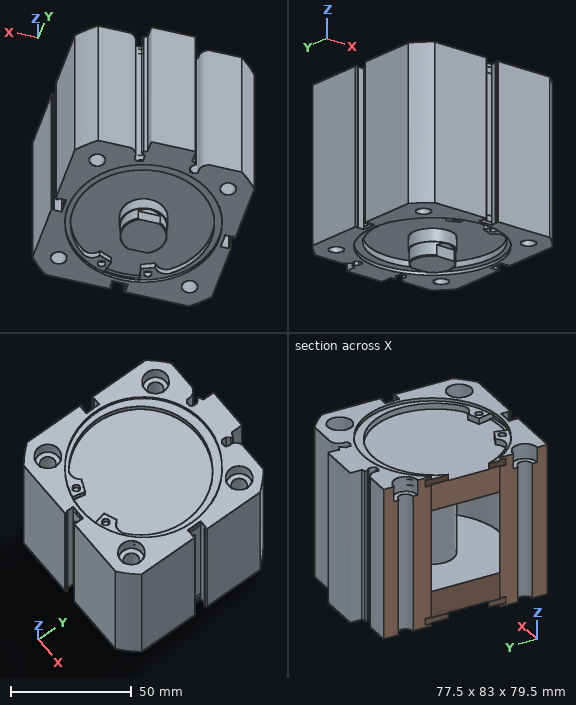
import cadquery as cq
import math

width = 77.5
half_width = width / 2
overall_depth = 83
housing_height = 71.55
corner_radius = 49.6
bore_radius = 32.5

bolt_offset = 28.2
bolt_hole_radius = 3.3
counterbore_radius = 5.6
counterbore_depth = 7.05

rail_top = overall_depth - half_width
rail_half_width = 9.6
rail_edge_radius = 0.5
hook_tip_x = 11.7
hook_tip_y = 37.6
hook_tip_half_height = 0.5
slot_inner_x = 10.0
slot_outer_x = 13.7
slot_bottom_y = 32.5
slot_bottom_radius = 1.25
slot_neck_y = 35.6
slot_mouth_size = 3.4
slot_mouth_bulge = 0.7

groove_half_width = 3.3
groove_mouth_half_width = 2.6
groove_edge_half_width = 3.2
groove_depth = 4.5
groove_lip_thickness = 1.1
lip_chamfer_depth = 0.4

ring_inset = 1.4
ring_thickness = 2.7
ring_outer_radius = 34.0
ring_inner_radius = 29.8
ring_inner_offset = 1.5
lug_valley_start_x = 18.75
lug_valley = (16.1, -25.6)
lug_inner_corner = (11.95, -23.2)
lug_gap_corner = (6.4, -25.6)
gap_end_x = 8.0
lug_hole = (10.0, -27.5)
lug_hole_radius = 1.6

cover_inset = ring_inset + ring_thickness
cover_thickness = 12.45
rod_radius = 10.0
rod_collar_length = 1.7
rod_end_length = 8.0
rod_end_radius = 9.7
rod_end_chamfer_length = 0.5
rod_end_chamfer_width = 0.25
flat_offset = 8.5
flat_run_out = 1.3


def sensor_groove(angle):
    """Lipped groove over the full height, cut into the side facing `angle`."""
    lip_inner_x = half_width - groove_lip_thickness
    floor_x = half_width - groove_depth
    upper = [
        (half_width, groove_edge_half_width),
        (half_width - lip_chamfer_depth, groove_mouth_half_width),
        (lip_inner_x, groove_mouth_half_width),
        (lip_inner_x, groove_half_width),
        (floor_x, groove_half_width),
    ]
    lower = [(x, -y) for x, y in reversed(upper)]
    groove = cq.Workplane("XY").polyline(upper + lower).close().extrude(housing_height)
    return groove.rotate((0, 0, 0), (0, 0, 1), angle)


def rail():
    """Rail standing on the +Y side of the square body."""
    height = rail_top - slot_neck_y
    block = (
        cq.Workplane("XY")
        .center(0, rail_top - height / 2)
        .rect(2 * rail_half_width, height)
        .extrude(housing_height)
    )
    return block.edges("|Z and >Y").fillet(rail_edge_radius)


def rail_slot():
    """Slot on the +X side of the rail, leaving a hook at the rail's foot."""
    diagonal = slot_bottom_radius * (1 - math.sqrt(0.5))
    mouth_x = slot_outer_x + slot_mouth_size
    mouth_y = half_width - slot_mouth_size
    mouth_shift = slot_mouth_bulge * math.sqrt(0.5)
    mouth_mid_x = (slot_outer_x + mouth_x) / 2 - mouth_shift
    mouth_mid_y = (mouth_y + half_width) / 2 + mouth_shift
    return (
        cq.Workplane("XY")
        .moveTo(rail_half_width, half_width)
        .lineTo(hook_tip_x - hook_tip_half_height, hook_tip_y + hook_tip_half_height)
        .threePointArc(
            (hook_tip_x, hook_tip_y),
            (hook_tip_x - hook_tip_half_height, hook_tip_y - hook_tip_half_height),
        )
        .lineTo(slot_inner_x, slot_neck_y)
        .lineTo(slot_inner_x, slot_bottom_y + slot_bottom_radius)
        .threePointArc(
            (slot_inner_x + diagonal, slot_bottom_y + diagonal),
            (slot_inner_x + slot_bottom_radius, slot_bottom_y),
        )
        .lineTo(slot_outer_x - slot_bottom_radius, slot_bottom_y)
        .threePointArc(
            (slot_outer_x - diagonal, slot_bottom_y + diagonal),
            (slot_outer_x, slot_bottom_y + slot_bottom_radius),
        )
        .lineTo(slot_outer_x, mouth_y)
        .threePointArc((mouth_mid_x, mouth_mid_y), (mouth_x, half_width))
        .close()
        .extrude(housing_height)
    )


def ring_seat(bottom_z):
    """Disc cut out of the bore wall to seat a retaining ring."""
    return (
        cq.Workplane("XY")
        .workplane(offset=bottom_z)
        .circle(ring_outer_radius)
        .extrude(ring_thickness)
    )


def build_housing(ring_levels):
    body = cq.Workplane("XY").rect(width, width).extrude(housing_height)
    body = body.intersect(cq.Workplane("XY").circle(corner_radius).extrude(housing_height))
    body = body.union(rail())

    slot = rail_slot()
    body = body.cut(slot).cut(slot.mirror("YZ"))
    for angle in (0, 180, 270):
        body = body.cut(sensor_groove(angle))

    body = body.cut(cq.Workplane("XY").circle(bore_radius).extrude(housing_height))
    for level in ring_levels:
        body = body.cut(ring_seat(level))

    return (
        body.faces(">Z")
        .workplane(origin=(0, 0, housing_height))
        .rect(2 * bolt_offset, 2 * bolt_offset, forConstruction=True)
        .vertices()
        .cboreHole(2 * bolt_hole_radius, 2 * counterbore_radius, counterbore_depth)
    )


def build_ring(bottom_z):
    """Eccentric internal retaining ring, open at -Y, with two plier lugs."""
    gap_end_y = -math.sqrt(ring_outer_radius**2 - gap_end_x**2)
    valley_start_y = -ring_inner_offset - math.sqrt(ring_inner_radius**2 - lug_valley_start_x**2)
    valley_x, valley_y = lug_valley
    corner_x, corner_y = lug_inner_corner
    gap_x, gap_y = lug_gap_corner
    hole_x, hole_y = lug_hole
    return (
        cq.Workplane("XY")
        .workplane(offset=bottom_z)
        .moveTo(gap_end_x, gap_end_y)
        .threePointArc((0, ring_outer_radius), (-gap_end_x, gap_end_y))
        .lineTo(-gap_x, gap_y)
        .lineTo(-corner_x, corner_y)
        .threePointArc((-valley_x, valley_y), (-lug_valley_start_x, valley_start_y))
        .threePointArc(
            (0, ring_inner_radius - ring_inner_offset),
            (lug_valley_start_x, valley_start_y),
        )
        .threePointArc((valley_x, valley_y), (corner_x, corner_y))
        .lineTo(gap_x, gap_y)
        .close()
        .pushPoints([(-hole_x, hole_y), (hole_x, hole_y)])
        .circle(lug_hole_radius)
        .extrude(ring_thickness)
    )


def build_head_cover():
    """Plain disc closing the top of the bore, under the upper ring."""
    bottom_z = housing_height - cover_inset - cover_thickness
    return cq.Workplane("XY").workplane(offset=bottom_z).circle(bore_radius).extrude(cover_thickness)


def build_rod_cover():
    """Disc above the lower ring that guides the rod."""
    return (
        cq.Workplane("XY")
        .workplane(offset=cover_inset)
        .circle(bore_radius)
        .circle(rod_radius)
        .extrude(cover_thickness)
    )


def wrench_flat():
    """Material removed on the -Y side of the rod end, with a 45 degree run-out."""
    flat_top_z = -rod_collar_length - flat_run_out
    return (
        cq.Workplane("YZ")
        .moveTo(-flat_offset, -rod_end_length)
        .lineTo(-flat_offset, flat_top_z)
        .lineTo(-flat_offset - flat_run_out, -rod_collar_length)
        .lineTo(-flat_offset - flat_run_out, -rod_end_length)
        .close()
        .extrude(rod_radius, both=True)
    )


def build_rod():
    """Rod from its flatted end outside the housing to the head cover."""
    rod_top_z = housing_height - cover_inset - cover_thickness
    profile = [
        (0, -rod_end_length),
        (rod_end_radius - rod_end_chamfer_width, -rod_end_length),
        (rod_end_radius, -rod_end_length + rod_end_chamfer_length),
        (rod_end_radius, -rod_collar_length),
        (rod_radius, -rod_collar_length),
        (rod_radius, rod_top_z),
        (0, rod_top_z),
    ]
    rod = cq.Workplane("XZ").polyline(profile).close().revolve(360, (0, 0, 0), (0, 1, 0))
    flat = wrench_flat()
    return rod.cut(flat).cut(flat.mirror("XZ"))


ring_levels = [ring_inset, housing_height - cover_inset]

housing = build_housing(ring_levels)
rings = [build_ring(level) for level in ring_levels]
head_cover = build_head_cover()
rod_cover = build_rod_cover()
rod = build_rod()

result = cq.Compound.makeCompound(
    [
        housing.val(),
        *[ring.val() for ring in rings],
        head_cover.val(),
        rod_cover.val(),
        rod.val(),
    ]
)